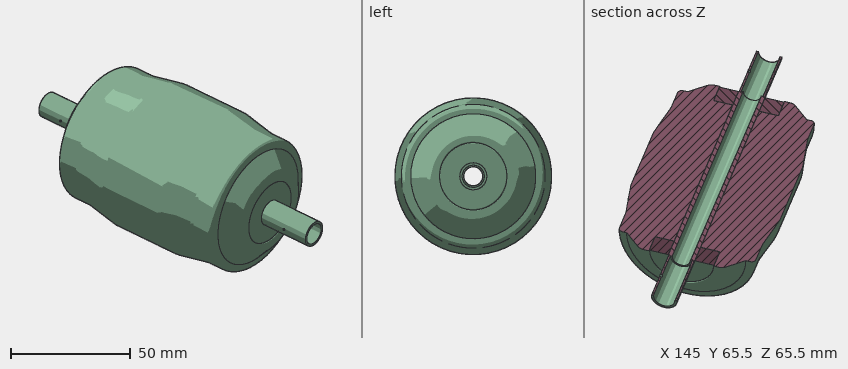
import cadquery as cq
import math


AXLE_LENGTH = 145.0
AXLE_RADIUS = 5.7
AXLE_BORE_RADIUS = 3.9
COUNTERBORE_RADIUS = 4.6
PIN_HOLE_DIAMETER = 0.9

BELLY_RADIUS = 65.5 / 2
RIM_RADIUS = 30.0
ROLLER_HALF_LENGTH = 49.0
SHOULDER_X = 42.0
TAPER_RIM_X = 31.2
TAPER_BELLY_X = 15.7
CONE_BASE_RADIUS = 26.1
CONE_TIP_RADIUS = 18.1
RIM_ROUND = 2.0
END_ROUND = 4.0
TAPER_BLEND = 9.0

BEARING_RADIUS = 14.0
BEARING_WIDTH = 8.0
BEARING_ROUND = 0.5
BEARING_RECESS = 0.5
POCKET_ROUND = 0.5

AXLE_END_X = AXLE_LENGTH / 2
AXLE_STUB_LENGTH = AXLE_END_X - ROLLER_HALF_LENGTH
PIN_HOLE_X = AXLE_END_X - AXLE_STUB_LENGTH / 2
BEARING_CENTER_X = ROLLER_HALF_LENGTH - BEARING_RECESS - BEARING_WIDTH / 2
POCKET_DEPTH = BEARING_RECESS + BEARING_WIDTH
SIDES = (-1, 1)
TOLERANCE = 0.01


def cylinder(radius, length, center_x=0.0):
    """A cylinder along X, centred at center_x."""
    return cq.Workplane("YZ").workplane(offset=center_x - length / 2).circle(radius).extrude(length)


def round_rings(body, x, radius, fillet_radius):
    """Round the circular edges of the given radius at both +x and -x."""

    def is_ring(edge):
        point = edge.startPoint()
        at_x = abs(abs(point.x) - x) < TOLERANCE
        return at_x and abs(math.hypot(point.y, point.z) - radius) < TOLERANCE

    rings = [edge for edge in body.edges("%CIRCLE").vals() if is_ring(edge)]
    return body.newObject(rings).fillet(fillet_radius)


def make_roller_blank():
    """The solid outer form of the roller: belly, tapers, rims and end cones."""
    right_side = [
        (TAPER_BELLY_X, BELLY_RADIUS),
        (TAPER_RIM_X, RIM_RADIUS),
        (SHOULDER_X, RIM_RADIUS),
        (SHOULDER_X, CONE_BASE_RADIUS),
        (ROLLER_HALF_LENGTH, CONE_TIP_RADIUS),
        (ROLLER_HALF_LENGTH, 0),
    ]
    left_side = [(-x, radius) for x, radius in reversed(right_side)]
    profile = cq.Workplane("XY").polyline(left_side + right_side).close()
    blank = profile.revolve(360, (0, 0, 0), (1, 0, 0))

    blank = round_rings(blank, TAPER_BELLY_X, BELLY_RADIUS, TAPER_BLEND)
    blank = round_rings(blank, TAPER_RIM_X, RIM_RADIUS, TAPER_BLEND)
    blank = round_rings(blank, SHOULDER_X, RIM_RADIUS, RIM_ROUND)
    return round_rings(blank, ROLLER_HALF_LENGTH, CONE_TIP_RADIUS, END_ROUND)


def make_roller():
    """The roller with its axle bore and a round-edged bearing pocket at each end."""
    roller = make_roller_blank().cut(cylinder(AXLE_RADIUS, 2 * ROLLER_HALF_LENGTH))
    pocket_center_x = ROLLER_HALF_LENGTH - POCKET_DEPTH / 2
    for side in SIDES:
        roller = roller.cut(cylinder(BEARING_RADIUS, POCKET_DEPTH, side * pocket_center_x))
    return round_rings(roller, ROLLER_HALF_LENGTH, BEARING_RADIUS, POCKET_ROUND)


def make_bearing(center_x):
    """A bearing ring with rounded outer edges, fitting the axle and its pocket."""
    disc = cylinder(BEARING_RADIUS, BEARING_WIDTH, center_x).edges().fillet(BEARING_ROUND)
    return disc.cut(cylinder(AXLE_RADIUS, BEARING_WIDTH, center_x))


def make_axle():
    """The hollow axle, counterbored at both ends, with a pin hole in the front of each stub."""
    axle = cylinder(AXLE_RADIUS, AXLE_LENGTH).cut(cylinder(AXLE_BORE_RADIUS, AXLE_LENGTH))
    for side in SIDES:
        axle = axle.cut(cylinder(COUNTERBORE_RADIUS, AXLE_STUB_LENGTH, side * PIN_HOLE_X))
        pin_hole = cq.Workplane("XZ").center(side * PIN_HOLE_X, 0).circle(PIN_HOLE_DIAMETER / 2)
        axle = axle.cut(pin_hole.extrude(AXLE_RADIUS))
    return axle


roller = make_roller()
bearings = [make_bearing(side * BEARING_CENTER_X) for side in SIDES]
axle = make_axle()

result = cq.Compound.makeCompound([roller.val(), *[bearing.val() for bearing in bearings], axle.val()])